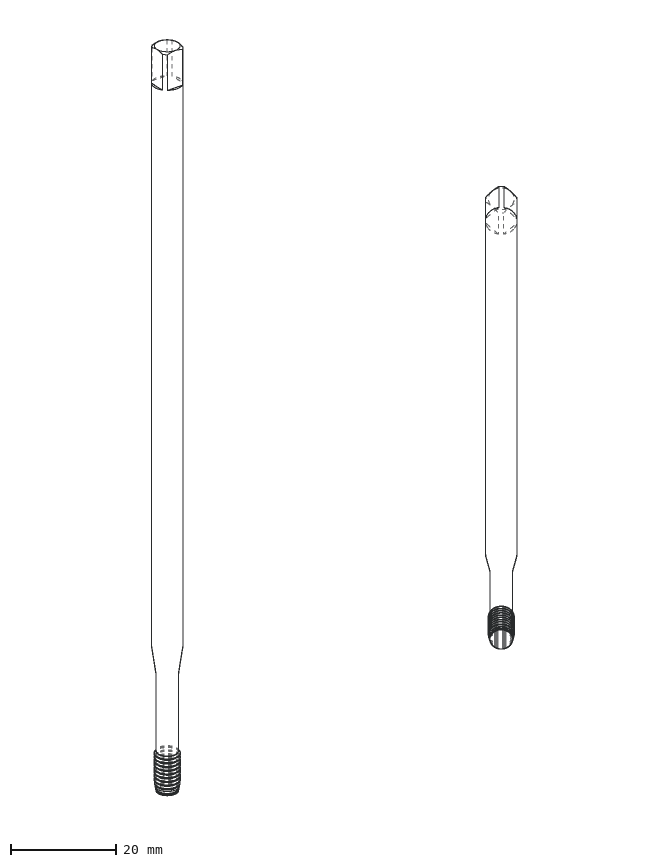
import cadquery as cq
import math

TOTAL_LENGTH = 160.0

SHANK_DIAMETER = 6.0
SQUARE_ACROSS_FLATS = 4.9
SQUARE_LENGTH = 8.0
END_CHAMFER_HEIGHT = 0.35
END_CHAMFER_WIDTH = (SHANK_DIAMETER - SQUARE_ACROSS_FLATS) / 2

NECK_DIAMETER = 4.3
NECK_TOP_Z = 25.0
TAPER_LENGTH = 6.0

THREAD_DIAMETER = 5.0
THREAD_PITCH = 0.8
THREAD_LENGTH = 8.5
THREAD_ANGLE = 60.0
THREAD_DEPTH = 0.45
ROOT_FLAT = 0.1
LEAD_LENGTH = 2.0
TIP_DIAMETER = NECK_DIAMETER


def revolve_profile(points):
    """Revolve a closed outline of (radius, z) points about the Z axis."""
    return cq.Workplane("XZ").polyline(points).close().revolve(360, (0, 0, 0), (0, 1, 0))


def make_shank():
    """Shank with drive square, tapered shoulder and neck, down to the thread."""
    shank_radius = SHANK_DIAMETER / 2
    neck_radius = NECK_DIAMETER / 2
    body = revolve_profile([
        (0, THREAD_LENGTH),
        (neck_radius, THREAD_LENGTH),
        (neck_radius, NECK_TOP_Z),
        (shank_radius, NECK_TOP_Z + TAPER_LENGTH),
        (shank_radius, TOTAL_LENGTH - END_CHAMFER_HEIGHT),
        (shank_radius - END_CHAMFER_WIDTH, TOTAL_LENGTH),
        (0, TOTAL_LENGTH),
    ])
    square_waste = (
        cq.Workplane("XY", origin=(0, 0, TOTAL_LENGTH - SQUARE_LENGTH))
        .circle(SHANK_DIAMETER)
        .rect(SQUARE_ACROSS_FLATS, SQUARE_ACROSS_FLATS)
        .extrude(SQUARE_LENGTH)
    )
    return body.cut(square_waste)


def make_thread_groove(center_z):
    """Ring-shaped cutter for one thread groove: a V with a flat root."""
    crest_radius = THREAD_DIAMETER / 2
    root_radius = crest_radius - THREAD_DEPTH
    half_root = ROOT_FLAT / 2
    half_mouth = half_root + THREAD_DEPTH * math.tan(math.radians(THREAD_ANGLE / 2))
    return revolve_profile([
        (root_radius, center_z - half_root),
        (root_radius, center_z + half_root),
        (crest_radius, center_z + half_mouth),
        (crest_radius, center_z - half_mouth),
    ])


def make_thread():
    """Thread head: a blank with a tapered lead, cut by equally spaced grooves."""
    crest_radius = THREAD_DIAMETER / 2
    head = revolve_profile([
        (0, 0),
        (TIP_DIAMETER / 2, 0),
        (crest_radius, LEAD_LENGTH),
        (crest_radius, THREAD_LENGTH),
        (0, THREAD_LENGTH),
    ])
    groove_count = math.ceil(THREAD_LENGTH / THREAD_PITCH)
    for index in range(groove_count):
        head = head.cut(make_thread_groove((index + 0.5) * THREAD_PITCH))
    return head


shank = make_shank()
thread = make_thread()
result = cq.Compound.makeCompound([shank.solids().val(), thread.solids().val()])